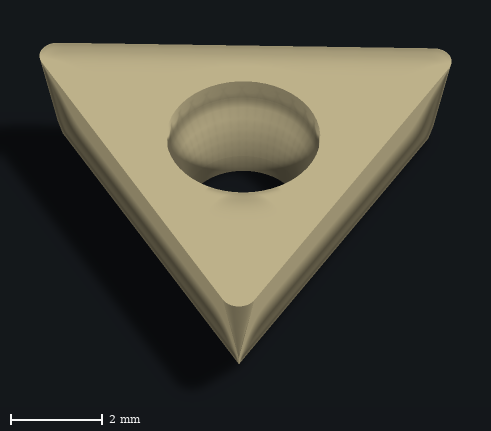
import cadquery as cq
import math

length = 9.04
thickness = 2.38
nose_radius = 0.4
relief_angle = 11.0

mouth_radius = 1.69
mouth_end_radius = 1.66
mouth_depth = 0.48
shoulder_radius = 1.58
shoulder_depth = 0.73
throat_radius = 2.5 / 2
throat_depth = 1.91

corner_angles = [90, 210, 330]
nose_center_distance = (length - 2 * nose_radius) / math.sqrt(3)
sharp_corner_distance = nose_center_distance + 2 * nose_radius
nose_depth = nose_radius / math.tan(math.radians(relief_angle))


def polar(distance, angle, z=0):
    """Point at a distance and an angle in degrees about the hole axis."""
    turn = math.radians(angle)
    return cq.Vector(distance * math.cos(turn), distance * math.sin(turn), z)


def make_sharp_body():
    """Tapered triangle with sharp corners all the way up."""
    corners = [polar(sharp_corner_distance, angle).toTuple()[:2] for angle in corner_angles]
    return cq.Workplane("XY").polyline(corners).close().extrude(-thickness, taper=relief_angle)


def make_corner_wedge(angle):
    """Tetrahedron at a sharp corner, outside the lines where the cone meets the flanks."""
    center = polar(nose_center_distance, angle)
    points = [
        center + polar(nose_radius, angle - 60),
        center + polar(nose_radius, angle + 60),
        polar(sharp_corner_distance, angle),
        polar(nose_center_distance, angle, -nose_depth),
    ]
    faces = []
    for omitted in points:
        triangle = [point for point in points if point is not omitted]
        faces.append(cq.Face.makeFromWires(cq.Wire.makePolygon(triangle, close=True)))
    return cq.Workplane(cq.Solid.makeSolid(cq.Shell.makeShell(faces)))


def make_nose_cone(angle):
    """Cone tangent to both flanks at a corner."""
    center = polar(nose_center_distance, angle)
    down = cq.Vector(0, 0, -1)
    return cq.Workplane(cq.Solid.makeCone(nose_radius, 0, nose_depth, center, down))


def make_screw_hole():
    """Revolved hole: near-straight mouth, rounded shoulder, curved seat, straight throat."""
    width = shoulder_radius - throat_radius
    height = throat_depth - shoulder_depth
    arc_radius = (width**2 + height**2) / (2 * width)
    half_sweep = math.asin(height / arc_radius) / 2
    arc_middle = (
        throat_radius + arc_radius * (1 - math.cos(half_sweep)),
        -throat_depth + arc_radius * math.sin(half_sweep),
    )
    return (
        cq.Workplane("XZ")
        .moveTo(0, 0)
        .lineTo(mouth_radius, 0)
        .lineTo(mouth_end_radius, -mouth_depth)
        .tangentArcPoint((shoulder_radius, -shoulder_depth), relative=False)
        .threePointArc(arc_middle, (throat_radius, -throat_depth))
        .lineTo(throat_radius, -thickness)
        .lineTo(0, -thickness)
        .close()
        .revolve(360, (0, 0), (0, 1))
    )


result = make_sharp_body()
for corner_angle in corner_angles:
    result = result.cut(make_corner_wedge(corner_angle)).union(make_nose_cone(corner_angle))
result = result.cut(make_screw_hole())